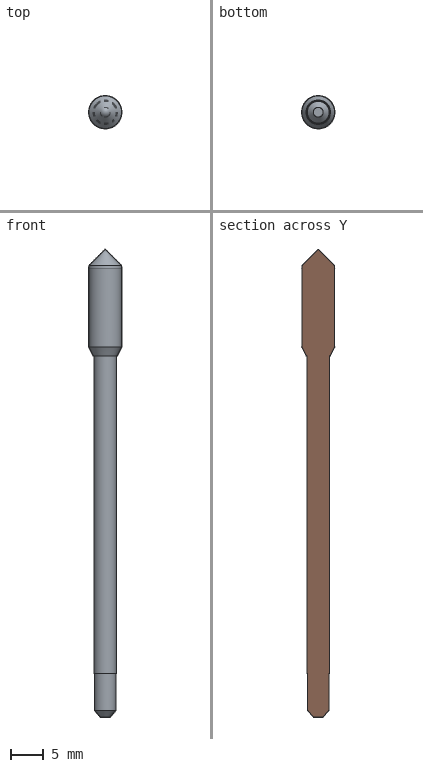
import cadquery as cq

head_diameter = 5.1
tip_base_diameter = 5.05
head_taper_diameter = 3.75
shaft_diameter = 3.5
pin_diameter = 3.4
pin_end_diameter = 1.5

total_length = 72.0
tip_height = 2.5
edge_band_height = 0.4
head_length = 15.05
taper_height = 1.4
pin_length = 6.7
pin_chamfer_height = 1.1

head_bottom = total_length - head_length
taper_bottom = head_bottom - taper_height
tip_base = total_length - tip_height

half_section = [
    (0, 0),
    (pin_end_diameter / 2, 0),
    (pin_diameter / 2, pin_chamfer_height),
    (pin_diameter / 2, pin_length),
    (shaft_diameter / 2, pin_length),
    (shaft_diameter / 2, taper_bottom),
    (head_taper_diameter / 2, taper_bottom),
    (head_diameter / 2, head_bottom),
    (head_diameter / 2, tip_base - edge_band_height),
    (tip_base_diameter / 2, tip_base),
    (0, total_length),
]

result = cq.Workplane("XZ").polyline(half_section).close().revolve(360, (0, 0, 0), (0, 1, 0))